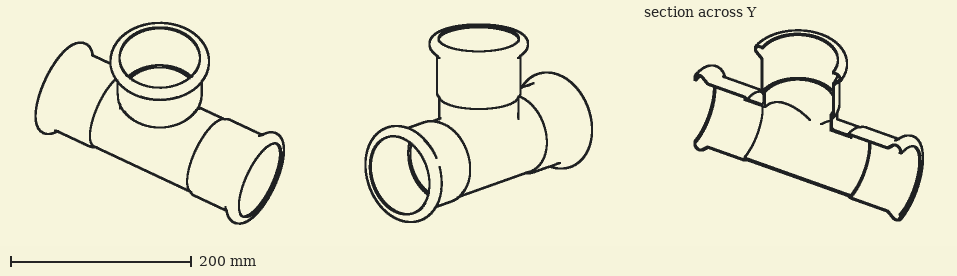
import cadquery as cq
import math

run_length = 262.0
branch_height = 127.0

run_radius = 88.8 / 2
branch_radius = 87.8 / 2
socket_radius = 93.0 / 2
bore_radius = 41.5

bead_section_radius = 6.5
bead_outer_radius = 54.8
mouth_radius = 44.5
wall = socket_radius - mouth_radius
bead_circle_radius = bead_outer_radius - bead_section_radius
groove_section_radius = bead_section_radius - wall

socket_depth = 63.7
shoulder_depth = 67.5
neck_blend_radius = 2.0
shoulder_round_radius = 2.5

blend_radius = 2.0


def cone_end_depth(section_radius, end_radius):
    """Depth at which the 45 degree cone tangent to the bead section meets end_radius."""
    cone_offset = section_radius * math.sqrt(2)
    return bead_section_radius + cone_offset + bead_circle_radius - end_radius


def round_ring(arm, depth, radius):
    """Fillet the circular edge centred on the arm's axis at the given depth below the mouth."""
    half_box = 0.13
    ring = cq.selectors.BoxSelector(
        (-half_box, -half_box, -depth - half_box),
        (half_box, half_box, -depth + half_box),
    )
    return arm.edges(ring).fillet(radius)


def bead_arc_and_cone(profile, section_radius, end_radius):
    """Continue from the bead's crown end round to a 45 degree cone, down to end_radius."""
    diagonal = section_radius * math.sqrt(0.5)
    tangent_radius = bead_circle_radius + diagonal
    tangent_depth = bead_section_radius + diagonal
    return (
        profile
        .threePointArc(
            (bead_circle_radius + section_radius * math.cos(math.pi / 8),
             -bead_section_radius + section_radius * math.sin(math.pi / 8)),
            (tangent_radius, -tangent_depth),
        )
        .lineTo(end_radius, -cone_end_depth(section_radius, end_radius))
    )


def socket_outer(length, tube_radius):
    """Solid outside of one arm: bead, cone, socket, shoulder and tube, mouth at z = length."""
    profile = cq.Workplane("XZ").moveTo(0, 0).lineTo(bead_circle_radius, 0)
    profile = bead_arc_and_cone(profile, bead_section_radius, socket_radius)
    profile = (
        profile
        .lineTo(socket_radius, -socket_depth)
        .lineTo(tube_radius, -shoulder_depth)
        .lineTo(tube_radius, -length)
        .lineTo(0, -length)
        .close()
    )
    arm = profile.revolve(360, (0, 0), (0, 1))
    arm = round_ring(arm, cone_end_depth(bead_section_radius, socket_radius), neck_blend_radius)
    arm = round_ring(arm, socket_depth, shoulder_round_radius)
    return arm.translate((0, 0, length))


def socket_inner(length):
    """Hollow of one arm: mouth, seal groove, socket bore and tube bore."""
    profile = (
        cq.Workplane("XZ")
        .moveTo(0, 0)
        .lineTo(mouth_radius, 0)
        .lineTo(mouth_radius, -wall)
        .lineTo(bead_circle_radius, -wall)
    )
    profile = bead_arc_and_cone(profile, groove_section_radius, mouth_radius)
    profile = (
        profile
        .lineTo(mouth_radius, -socket_depth)
        .lineTo(bore_radius, -socket_depth)
        .lineTo(bore_radius, -length)
        .lineTo(0, -length)
        .close()
    )
    hollow = profile.revolve(360, (0, 0), (0, 1))
    hollow = round_ring(hollow, cone_end_depth(groove_section_radius, mouth_radius), neck_blend_radius)
    return hollow.translate((0, 0, length))


def along_run(arm, side):
    """Turn an upright arm to point along +X (side = 1) or -X (side = -1)."""
    return arm.rotate((0, 0, 0), (0, 1, 0), side * 90)


def blended_tee():
    """Plain tubes of the run and branch with the joint between them filleted."""
    run = cq.Workplane("YZ").circle(run_radius).extrude(run_length / 2 - shoulder_depth, both=True)
    branch = cq.Workplane("XY").circle(branch_radius).extrude(branch_height - shoulder_depth)
    margin = 2.5
    joint_box = cq.selectors.BoxSelector(
        (-branch_radius - margin, -run_radius, 0),
        (branch_radius + margin, run_radius, run_radius + margin),
    )
    return run.union(branch).edges(joint_box).fillet(blend_radius)


half_run = run_length / 2
result = blended_tee().union(socket_outer(branch_height, branch_radius))
for side in (-1, 1):
    result = result.union(along_run(socket_outer(half_run, run_radius), side))

result = result.cut(socket_inner(branch_height))
for side in (-1, 1):
    result = result.cut(along_run(socket_inner(half_run), side))